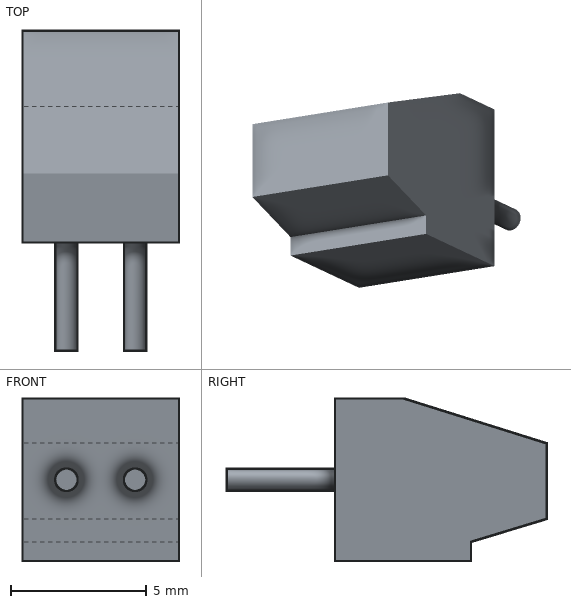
import cadquery as cq

width = 5.8
height = 6.02
body_length = 7.83
top_flat_length = 2.54
base_length = 5.03
base_step_height = 0.71
rear_bottom = 1.56
rear_top = 4.36

pin_diameter = 0.83
pin_length = 4.0
pin_pitch = 2.54
pin_height = height / 2


def make_housing():
    """Side profile in the YZ plane, extruded symmetrically across the width."""
    profile = [
        (0, 0),
        (base_length, 0),
        (base_length, base_step_height),
        (body_length, rear_bottom),
        (body_length, rear_top),
        (top_flat_length, height),
        (0, height),
    ]
    return cq.Workplane("YZ").polyline(profile).close().extrude(width / 2, both=True)


def make_pins():
    """Two round pins projecting from the front face toward -Y."""
    pin_centers = [(side * pin_pitch / 2, pin_height) for side in (-1, 1)]
    return cq.Workplane("XZ").pushPoints(pin_centers).circle(pin_diameter / 2).extrude(pin_length)


result = make_housing().union(make_pins())